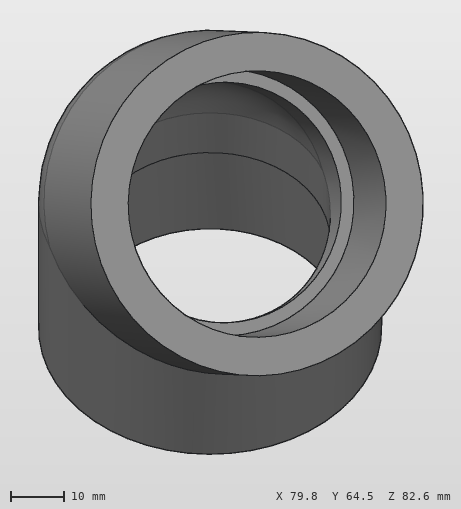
import cadquery as cq

outer_diameter = 64.5
socket_diameter = 50.0
passage_diameter = 45.15
arm_length = 35.0
shoulder_offset = 11.1
bend_angle = 45

bend_centre = cq.Vector(0, 0, arm_length)


def along_both_arms(diameter, start, end):
    """Cylinders on both arm axes, between two distances from the bend centre."""
    upright = cq.Workplane("XY").workplane(offset=start).circle(diameter / 2).extrude(end - start)
    lower = upright.rotate((0, 0, 0), (1, 0, 0), 180)
    upper = upright.rotate((0, 0, 0), (0, 1, 0), bend_angle)
    return lower.union(upper).translate(bend_centre)


def bend_with_knuckle(diameter, length):
    """Two arms of equal diameter whose outer corner is rounded by a sphere."""
    knuckle = cq.Workplane("XY").sphere(diameter / 2).translate(bend_centre)
    return along_both_arms(diameter, 0, length).union(knuckle)


body = bend_with_knuckle(outer_diameter, arm_length)
passage = bend_with_knuckle(passage_diameter, arm_length)
sockets = along_both_arms(socket_diameter, shoulder_offset, arm_length)

result = body.cut(passage).cut(sockets)